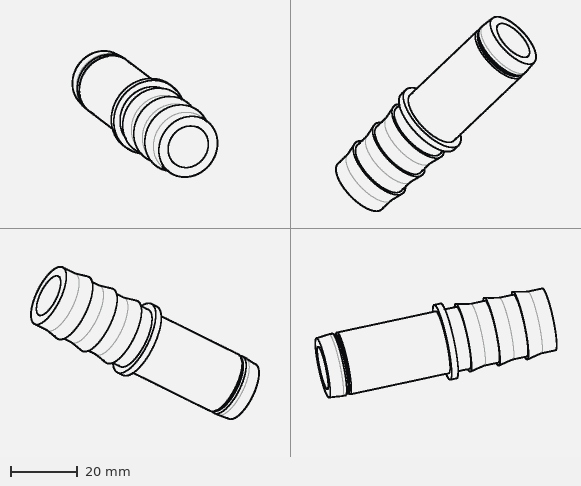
import cadquery as cq

length = 70.0
tube_radius = 19.05 / 2
bore_radius = 13.0 / 2

tip_radius = 18.3 / 2
tip_taper_length = 3.9

groove_start = 5.0
groove_floor_start = 5.6
groove_floor_end = 6.0
groove_end = 6.45
groove_radius = 18.0 / 2

flange_radius = 23.0 / 2
flange_start = 36.95
flange_width = 2.0

barb_count = 3
barb_radius = 20.85 / 2
barb_length = 4.4
barb_pitch = 8.8
first_barb_start = 43.4


def barb_points(start):
    """Profile points (x, radius) of one hose barb."""
    return [
        (start, tube_radius),
        (start, barb_radius),
        (start + barb_length, tube_radius),
    ]


profile = [
    (0, bore_radius),
    (0, tip_radius),
    (tip_taper_length, tube_radius),
    (groove_start, tube_radius),
    (groove_floor_start, groove_radius),
    (groove_floor_end, groove_radius),
    (groove_end, tube_radius),
    (flange_start, tube_radius),
    (flange_start, flange_radius),
    (flange_start + flange_width, flange_radius),
    (flange_start + flange_width, tube_radius),
]
for index in range(barb_count):
    profile += barb_points(first_barb_start + index * barb_pitch)
profile += [
    (length, tube_radius),
    (length, bore_radius),
]

result = (
    cq.Workplane("XY")
    .polyline(profile)
    .close()
    .revolve(360, (0, 0, 0), (1, 0, 0))
)